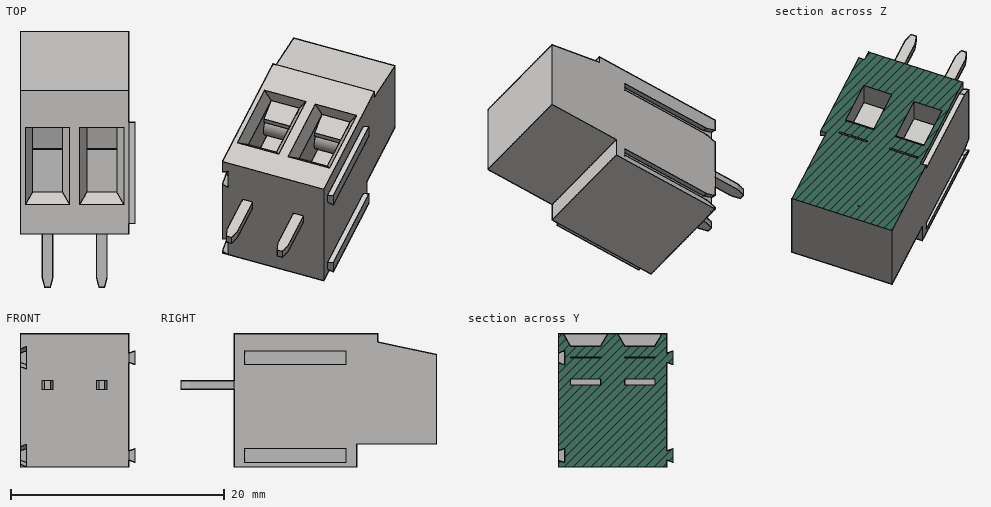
import cadquery as cq


OVERALL_LENGTH = 24

POLE_COUNT = 2
POLE_PITCH = 5.1
BODY_WIDTH = POLE_COUNT * POLE_PITCH
BODY_LENGTH = 19.0
BODY_HEIGHT = 12.5
TOP_STEP_Y = 13.5
SLOPE_HIGH_Z = 11.74
SLOPE_LOW_Z = 10.55
BOTTOM_STEP_Y = 11.52
BOTTOM_STEP_Z = 2.15

PIN_LENGTH = OVERALL_LENGTH - BODY_LENGTH
PIN_WIDTH = 1.0
PIN_THICKNESS = 0.82
PIN_TIP_WIDTH = 0.53
PIN_TIP_LENGTH = 0.9
PIN_Z = 7.7

POCKET_FRONT_Y = 2.75
POCKET_BACK_Y = 10.0
MOUTH_WIDTH = 4.15
MOUTH_DEPTH = 1.15
SHAFT_WIDTH = 2.8
SHAFT_FRONT_Y = 3.94
SHAFT_FLOOR_Z = PIN_Z
SHAFT_TOP_Z = BODY_HEIGHT - MOUTH_DEPTH

TAB_REACH = 1.97
TAB_DROP = 0.58
TAB_THICKNESS = 0.45
BAR_DIAMETER = 2.5
BAR_OVERHANG = 0.12
BAR_BELOW_TAB = 1.08

RAIL_Z = (1.08, 10.25)
RAIL_DEPTH = 0.58
RAIL_ROOT = 0.9
RAIL_TIP = 1.3
RAIL_START_Y = 0.98
RAIL_END_Y = 10.5
FLARE_ROOT = 1.65
FLARE_TIP = 2.1

POLE_X = [(i - (POLE_COUNT - 1) / 2) * POLE_PITCH for i in range(POLE_COUNT)]


def make_housing():
    """Stepped side profile extruded across the full width."""
    profile = [
        (0, 0),
        (BOTTOM_STEP_Y, 0),
        (BOTTOM_STEP_Y, BOTTOM_STEP_Z),
        (BODY_LENGTH, BOTTOM_STEP_Z),
        (BODY_LENGTH, SLOPE_LOW_Z),
        (TOP_STEP_Y, SLOPE_HIGH_Z),
        (TOP_STEP_Y, BODY_HEIGHT),
        (0, BODY_HEIGHT),
    ]
    return cq.Workplane("YZ").polyline(profile).close().extrude(BODY_WIDTH / 2, both=True)


def make_pin(x):
    """Flat pin with a tapered tip, pointing toward -Y."""
    half = PIN_WIDTH / 2
    half_tip = PIN_TIP_WIDTH / 2
    taper_y = PIN_TIP_LENGTH - PIN_LENGTH
    outline = [
        (x - half, 0),
        (x - half, taper_y),
        (x - half_tip, -PIN_LENGTH),
        (x + half_tip, -PIN_LENGTH),
        (x + half, taper_y),
        (x + half, 0),
    ]
    plane = cq.Workplane("XY", origin=(0, 0, PIN_Z))
    return plane.polyline(outline).close().extrude(PIN_THICKNESS / 2, both=True)


def pocket_outline(plane, x, width, front_y):
    """Rectangle that ends at the back wall of the pocket."""
    length = POCKET_BACK_Y - front_y
    return plane.center(x, front_y + length / 2).rect(width, length).center(-x, -front_y - length / 2)


def make_pocket(x):
    """Space removed for one wire: funnel mouth and shaft."""
    top = cq.Workplane("XY", origin=(0, 0, BODY_HEIGHT))
    mouth = pocket_outline(top, x, MOUTH_WIDTH, POCKET_FRONT_Y).workplane(offset=-MOUTH_DEPTH)
    mouth = pocket_outline(mouth, x, SHAFT_WIDTH, SHAFT_FRONT_Y).loft(ruled=True)
    floor = cq.Workplane("XY", origin=(0, 0, SHAFT_FLOOR_Z))
    shaft = pocket_outline(floor, x, SHAFT_WIDTH, SHAFT_FRONT_Y).extrude(SHAFT_TOP_Z - SHAFT_FLOOR_Z)
    return mouth.union(shaft)


def make_clamp(x):
    """Sloping tab on the back wall of a pocket, with the round bar beneath it."""
    front_y = POCKET_BACK_Y - TAB_REACH
    front_z = SHAFT_TOP_Z - TAB_DROP
    underside_z = front_z - TAB_THICKNESS
    tab_profile = [
        (POCKET_BACK_Y, SHAFT_TOP_Z),
        (front_y, front_z),
        (front_y, underside_z),
        (POCKET_BACK_Y, underside_z),
    ]
    bar_y = front_y - BAR_OVERHANG + BAR_DIAMETER / 2
    bar_z = underside_z - BAR_BELOW_TAB
    plane = cq.Workplane("YZ", origin=(x, 0, 0))
    tab = plane.polyline(tab_profile).close().extrude(SHAFT_WIDTH / 2, both=True)
    bar = plane.center(bar_y, bar_z).circle(BAR_DIAMETER / 2).extrude(SHAFT_WIDTH / 2, both=True)
    return tab.union(bar)


def dovetail(plane, root_x, z, root, tip):
    """Dovetail section in XZ that widens from the root toward +X."""
    return plane.polyline([
        (root_x, z - root / 2),
        (root_x + RAIL_DEPTH, z - tip / 2),
        (root_x + RAIL_DEPTH, z + tip / 2),
        (root_x, z + root / 2),
    ]).close()


def make_rail(side_x, z, start_y):
    """Straight dovetail bar from start_y to the end of the rails."""
    plane = cq.Workplane("XZ", origin=(0, start_y, 0))
    return dovetail(plane, side_x, z, RAIL_ROOT, RAIL_TIP).extrude(start_y - RAIL_END_Y)


def make_groove(z):
    """Dovetail groove on -X, open at the pin face through a flared lead-in."""
    side_x = -BODY_WIDTH / 2
    flare = dovetail(cq.Workplane("XZ"), side_x, z, FLARE_ROOT, FLARE_TIP).workplane(offset=-RAIL_START_Y)
    flare = dovetail(flare, side_x, z, RAIL_ROOT, RAIL_TIP).loft(ruled=True)
    return make_rail(side_x, z, RAIL_START_Y).union(flare)


result = make_housing()
for pole_x in POLE_X:
    result = result.cut(make_pocket(pole_x))
    result = result.union(make_clamp(pole_x))
    result = result.union(make_pin(pole_x))
for rail_z in RAIL_Z:
    result = result.cut(make_groove(rail_z))
    result = result.union(make_rail(BODY_WIDTH / 2, rail_z, RAIL_START_Y))